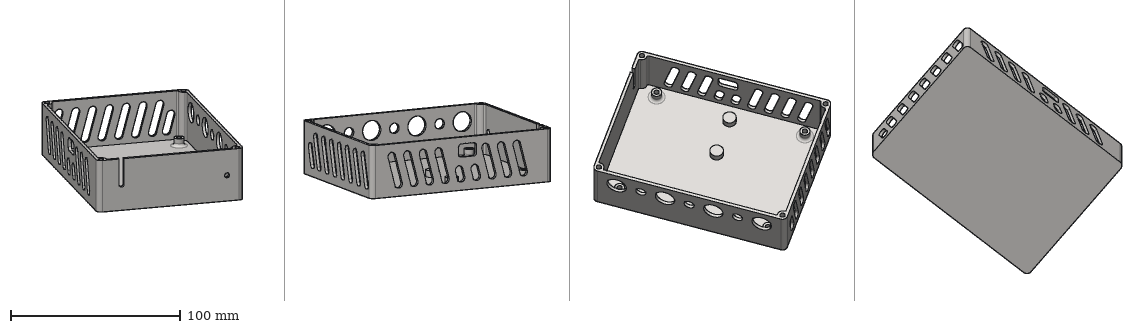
import cadquery as cq
import math

LENGTH = 120.0
WIDTH = 90.0
HEIGHT = 32.0
WALL = 2.0
FLOOR = 2.0
CORNER_RADIUS = 3.0

POST_RADIUS = 3.0
POST_FILLET = CORNER_RADIUS - WALL
SCREW_DIAMETER = 3.0
SCREW_X = LENGTH / 2 - CORNER_RADIUS
SCREW_Y = WIDTH / 2 - CORNER_RADIUS

STANDOFF_X = 46.0
STANDOFF_Y = 36.0
STANDOFF_DIAMETER = 6.0
STANDOFF_HOLE = 3.0
STANDOFF_HEIGHT = 5.0
STANDOFF_FILLET = 2.0
PAD_DIAMETER = 8.0
PAD_HEIGHT = 4.0
PAD_X = -0.35
PAD_Y_POSITIONS = (-7.5, -32.5)

SLOT_WIDTH = 5.0
SLOT_TILT = 15.0
SLOT_SPAN = 17.5
SLOT_SPACING = 10.0
SLOT_PITCH = SLOT_SPACING / math.cos(math.radians(SLOT_TILT))
SLOT_BOTTOM_Z = HEIGHT / 2 - SLOT_SPAN / 2 * math.cos(math.radians(SLOT_TILT))

FRONT_SLOT_X = -41.75
FRONT_SLOT_COUNT = 9
FRONT_SHORT_SLOTS = (4, 5)
FRONT_SHORT_SPAN = 5.0

SIDE_SLOT_Y = -38.9
SIDE_SLOT_COUNT = 7
SIDE_SHORT_Y = 31.8
SIDE_SHORT_SPAN = 10.5

WINDOW_LENGTH = 12.0
WINDOW_HEIGHT = 8.0
WINDOW_RADIUS = 2.0
WINDOW_X = 4.0
WINDOW_Z = 24.0

BACK_HOLE_Z = 22.0
BACK_HOLE_PITCH = 30.0
LARGE_HOLE_DIAMETER = 12.0
LARGE_HOLE_COUNT = 4
SMALL_HOLE_DIAMETER = 6.2
SMALL_HOLE_COUNT = 3

SIDE_HOLE_DIAMETER = 3.0
SIDE_HOLE_Y = 34.75
SIDE_HOLE_Z = 16.0
SLIT_WIDTH = 3.0
SLIT_Y = -30.1
SLIT_BOTTOM_Z = 16.0


def corners(x, y):
    """The four points mirrored about both axes."""
    return [(sx * x, sy * y) for sx in (-1, 1) for sy in (-1, 1)]


def shell():
    outer = cq.Workplane("XY").box(LENGTH, WIDTH, HEIGHT, centered=(True, True, False))
    outer = outer.edges("|Z").fillet(CORNER_RADIUS)
    cavity = (
        cq.Workplane("XY", origin=(0, 0, FLOOR))
        .rect(LENGTH - 2 * WALL, WIDTH - 2 * WALL)
        .extrude(HEIGHT - FLOOR)
    )
    body = outer.cut(cavity)
    post = corner_post()
    for half in (post, post.mirror("YZ")):
        body = body.union(half).union(half.mirror("XZ"))
    return body


def corner_post():
    """Post of the +X +Y corner: a round nose with a quarter-round blend to either wall."""
    wall_x = LENGTH / 2 - WALL
    wall_y = WIDTH / 2 - WALL
    diagonal = math.sqrt(0.5)
    blend_x = SCREW_X - POST_RADIUS - POST_FILLET
    blend_y = SCREW_Y - POST_RADIUS - POST_FILLET
    return (
        cq.Workplane("XY", origin=(0, 0, FLOOR))
        .moveTo(wall_x, blend_y)
        .threePointArc(
            (SCREW_X + POST_FILLET * diagonal, blend_y + POST_FILLET * diagonal),
            (SCREW_X, blend_y + POST_FILLET),
        )
        .threePointArc(
            (SCREW_X - POST_RADIUS * diagonal, SCREW_Y - POST_RADIUS * diagonal),
            (blend_x + POST_FILLET, SCREW_Y),
        )
        .threePointArc(
            (blend_x + POST_FILLET * diagonal, SCREW_Y + POST_FILLET * diagonal),
            (blend_x, wall_y),
        )
        .lineTo(wall_x, wall_y)
        .close()
        .extrude(HEIGHT - FLOOR)
    )


def screw_holes():
    return (
        cq.Workplane("XY", origin=(0, 0, FLOOR))
        .pushPoints(corners(SCREW_X, SCREW_Y))
        .circle(SCREW_DIAMETER / 2)
        .extrude(HEIGHT - FLOOR)
    )


def standoff(x, y):
    """Hollow pillar with a concave fillet at its foot."""
    hole = STANDOFF_HOLE / 2
    radius = STANDOFF_DIAMETER / 2
    foot = radius + STANDOFF_FILLET
    bend = STANDOFF_FILLET * (1 - math.sqrt(0.5))
    profile = (
        cq.Workplane("XZ")
        .moveTo(hole, -FLOOR / 2)
        .lineTo(foot, -FLOOR / 2)
        .lineTo(foot, 0)
        .threePointArc((radius + bend, bend), (radius, STANDOFF_FILLET))
        .lineTo(radius, STANDOFF_HEIGHT)
        .lineTo(hole, STANDOFF_HEIGHT)
        .close()
    )
    return profile.revolve(360, (0, 0, 0), (0, 1, 0)).translate((x, y, FLOOR))


def pads():
    return (
        cq.Workplane("XY", origin=(0, 0, FLOOR))
        .pushPoints([(PAD_X, y) for y in PAD_Y_POSITIONS])
        .circle(PAD_DIAMETER / 2)
        .extrude(PAD_HEIGHT)
    )


def front_plane():
    return cq.Workplane("XZ", origin=(0, -WIDTH / 2, 0))


def back_plane():
    return cq.Workplane("XZ", origin=(0, WIDTH / 2, 0))


def side_plane(x):
    return cq.Workplane("YZ", origin=(x, 0, 0))


def slot(plane, bottom, span, lean):
    """Slanted slot rising from its lower arc centre; lean is the sideways sense of the top."""
    tilt = math.radians(SLOT_TILT)
    centre = (
        bottom + lean * span / 2 * math.sin(tilt),
        SLOT_BOTTOM_Z + span / 2 * math.cos(tilt),
    )
    return (
        plane.pushPoints([centre])
        .slot2D(span + SLOT_WIDTH, SLOT_WIDTH, 90 - lean * SLOT_TILT)
        .extrude(WALL, both=True)
    )


def front_cuts():
    cuts = (
        front_plane()
        .center(WINDOW_X, WINDOW_Z)
        .rect(WINDOW_LENGTH, WINDOW_HEIGHT)
        .extrude(WALL, both=True)
        .edges("|Y")
        .fillet(WINDOW_RADIUS)
    )
    for i in range(FRONT_SLOT_COUNT):
        span = FRONT_SHORT_SPAN if i in FRONT_SHORT_SLOTS else SLOT_SPAN
        cuts = cuts.add(slot(front_plane(), FRONT_SLOT_X + i * SLOT_PITCH, span, -1))
    return cuts.combine()


def side_slots():
    cuts = slot(side_plane(-LENGTH / 2), SIDE_SHORT_Y, SIDE_SHORT_SPAN, 1)
    for i in range(SIDE_SLOT_COUNT):
        cuts = cuts.add(slot(side_plane(-LENGTH / 2), SIDE_SLOT_Y + i * SLOT_PITCH, SLOT_SPAN, 1))
    return cuts.combine()


def back_holes(count, diameter):
    return (
        back_plane()
        .center(0, BACK_HOLE_Z)
        .rarray(BACK_HOLE_PITCH, 1, count, 1)
        .circle(diameter / 2)
        .extrude(WALL, both=True)
    )


def cable_cuts():
    hole = (
        side_plane(LENGTH / 2)
        .center(SIDE_HOLE_Y, SIDE_HOLE_Z)
        .circle(SIDE_HOLE_DIAMETER / 2)
        .extrude(WALL, both=True)
    )
    slit = (
        side_plane(LENGTH / 2)
        .moveTo(SLIT_Y - SLIT_WIDTH / 2, HEIGHT)
        .lineTo(SLIT_Y - SLIT_WIDTH / 2, SLIT_BOTTOM_Z)
        .threePointArc(
            (SLIT_Y, SLIT_BOTTOM_Z - SLIT_WIDTH / 2),
            (SLIT_Y + SLIT_WIDTH / 2, SLIT_BOTTOM_Z),
        )
        .lineTo(SLIT_Y + SLIT_WIDTH / 2, HEIGHT)
        .close()
        .extrude(WALL, both=True)
    )
    return hole.add(slit).combine()


result = shell().cut(screw_holes()).union(pads())
for standoff_x, standoff_y in corners(STANDOFF_X, STANDOFF_Y):
    result = result.union(standoff(standoff_x, standoff_y))
result = result.cut(front_cuts()).cut(side_slots())
result = result.cut(back_holes(LARGE_HOLE_COUNT, LARGE_HOLE_DIAMETER))
result = result.cut(back_holes(SMALL_HOLE_COUNT, SMALL_HOLE_DIAMETER))
result = result.cut(cable_cuts())